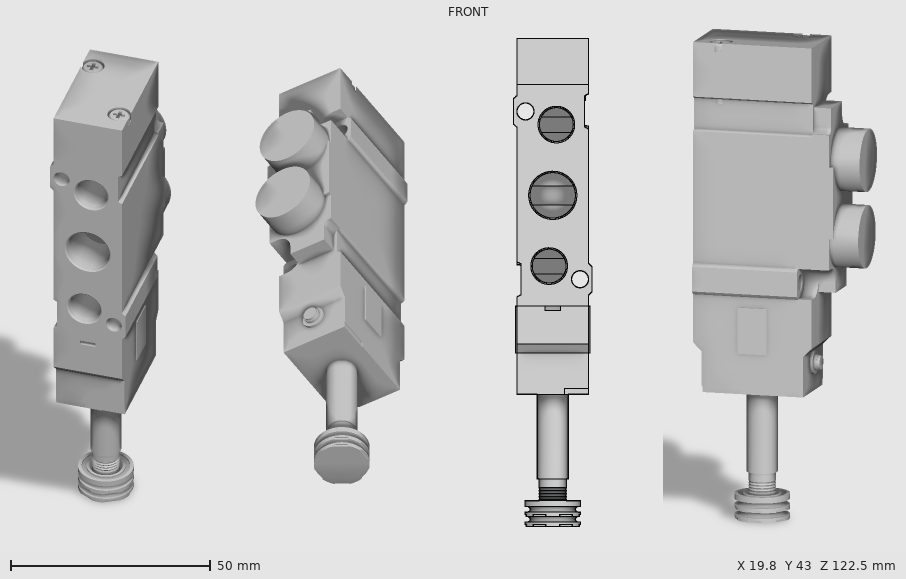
import cadquery as cq


overall_height = 122.5

housing_width = 18.0
housing_depth = 31.0
body_height = 55.6
cap_height = 11.6
adapter_height = 11.8
block_depth = 26.5
block_height = 10.35

half_width = housing_width / 2
front_y = -housing_depth / 2
back_y = housing_depth / 2
body_top = body_height / 2
body_bottom = -body_top
cap_top = body_top + cap_height
adapter_bottom = body_bottom - adapter_height
block_bottom = adapter_bottom - block_height

mount_x = 6.85
mount_z = 21.05
mount_diameter = 4.2
spotface_diameter = 7.8
spotface_depth = 3.6
spotface_floor_y = back_y - spotface_depth

ear_height = 0.9
ear_base = 8.0
ear_bevel = 0.85
notch_depth = 1.0
notch_opening = 8.8
notch_bevel = 0.5

centre_port_diameter = 11.4
side_port_diameter = 8.5
port_chamfer = 0.35
port_depth = 12.0
side_port_x = 0.9
side_port_z = 17.75
centre_slot_height = 4.8
side_slot_height = 3.9
port_slot_depth = 2.0

plate_thickness = 4.5
plate_height = 47.9
pad_height = 18.3
pad_thickness = 1.0
boss_diameter = 16.0
boss_length = 7.5
boss_x = 0.62
boss_z = 9.65
corner_step_width = 2.0
corner_step_height = 6.5
corner_step_radius = 1.6
plate_back_y = back_y + plate_thickness

screw_x = 6.2
screw_y = 8.9
counterbore_diameter = 5.9
counterbore_depth = 2.2
head_diameter = 5.4
head_chamfer = 0.45
head_sink = 0.2
shank_diameter = 4.0
thread_engagement = 4.0
cross_length = 3.0
cross_width = 0.9
cross_depth = 1.2

adapter_chamfer = (housing_depth - block_depth) / 2
rib_width = 7.5
rib_height = 0.35
mark_width = 4.0
mark_height = 1.1
mark_depth = 0.8

recess_height = 1.5
recess_depth = 0.2
front_recess_width = 6.0
side_recess_length = 8.4

button_steps = [(5.9, 0.7), (4.0, 0.75), (3.6, 0.75)]
button_drop = 2.95

stem_diameter = 7.8
stem_length = 21.2
neck_diameter = 7.0
neck_length = 2.2
thread_root_diameter = 6.5
thread_pitch = 0.75
thread_grooves = 4
thread_start = block_bottom - stem_length - neck_length

nut_diameter = 14.0
nut_groove_diameter = 11.4
nut_height = 6.5
nut_top_flange = 1.5
nut_middle_flange = 1.15
nut_bottom_flange = 1.15
nut_lead_diameter = 8.5
nut_ring_inner_diameter = 9.8
nut_ring_outer_diameter = 12.2
nut_ring_depth = 0.4
nut_notches = 6
nut_notch_width = 3.6
nut_notch_depth = 0.4
nut_bottom = cap_top - overall_height
nut_top = nut_bottom + nut_height


def box_between(x_range, y_range, z_range):
    size = [high - low for low, high in (x_range, y_range, z_range)]
    corner = (x_range[0], y_range[0], z_range[0])
    return cq.Workplane("XY").box(*size, centered=False).translate(corner)


def cylinder_y(diameter, x, z, y_low, y_high):
    disc = cq.Workplane("XZ", origin=(x, y_low, z)).circle(diameter / 2)
    return disc.extrude(y_low - y_high)


def cylinder_z(diameter, x, y, z_low, z_high):
    disc = cq.Workplane("XY", origin=(x, y, z_low)).circle(diameter / 2)
    return disc.extrude(z_high - z_low)


def half_turn(shape):
    """The same shape at the diagonally opposite corner, turned about the centre port."""
    return shape.rotate((0, 0, 0), (0, 1, 0), 180)


def side_trapezoid(base_x, tip_x, base_width, bevel, y_low, y_high):
    """Bar along Y with bevelled flanks, level with the upper mounting hole."""
    outline = [
        (base_x, mount_z - base_width / 2),
        (tip_x, mount_z - base_width / 2 + bevel),
        (tip_x, mount_z + base_width / 2 - bevel),
        (base_x, mount_z + base_width / 2),
    ]
    bar = cq.Workplane("XZ", origin=(0, y_low, 0)).polyline(outline).close()
    return bar.extrude(y_low - y_high)


def port(diameter, x, z, slot_height):
    """Round chamfered port with a slot across its floor."""
    floor_y = front_y + port_depth
    radius = diameter / 2
    bore = cylinder_y(diameter, x, z, front_y, floor_y)
    mouth = cq.Workplane("XZ", origin=(x, front_y, z)).circle(radius + port_chamfer)
    mouth = mouth.workplane(offset=-port_chamfer).circle(radius).loft()
    slot_band = box_between(
        (x - radius, x + radius),
        (floor_y, floor_y + port_slot_depth),
        (z - slot_height / 2, z + slot_height / 2),
    )
    slot = cylinder_y(diameter, x, z, floor_y, floor_y + port_slot_depth).intersect(slot_band)
    return bore.union(mouth).union(slot)


def spotface(y_low, y_high):
    """U-shaped seat around the upper mounting hole, open to -X."""
    radius = spotface_diameter / 2
    seat = cylinder_y(spotface_diameter, -mount_x, mount_z, y_low, y_high)
    outlet = box_between(
        (-half_width - ear_height, -mount_x),
        (y_low, y_high),
        (mount_z - radius, mount_z + radius),
    )
    return seat.union(outlet)


def screw_places():
    return [(-screw_x, screw_y), (screw_x, -screw_y)]


def make_valve_body():
    body = cq.Workplane("XY").box(housing_width, housing_depth, body_height)
    ear = side_trapezoid(
        -half_width, -half_width - ear_height, ear_base, ear_bevel, front_y, spotface_floor_y
    )
    notch = side_trapezoid(
        half_width, half_width - notch_depth, notch_opening, notch_bevel, front_y, back_y
    )
    mount_hole = cylinder_y(mount_diameter, -mount_x, mount_z, front_y, back_y)
    seat = spotface(spotface_floor_y, back_y)
    for place in (lambda shape: shape, half_turn):
        body = body.union(place(ear))
        body = body.cut(place(notch)).cut(place(mount_hole)).cut(place(seat))
    body = body.cut(port(centre_port_diameter, 0, 0, centre_slot_height))
    for side in (1, -1):
        body = body.cut(
            port(side_port_diameter, side * side_port_x, side * side_port_z, side_slot_height)
        )
    for x, y in screw_places():
        body = body.cut(cylinder_z(shank_diameter, x, y, body_top - thread_engagement, body_top))
    return body


def make_back_plate():
    half_height = plate_height / 2
    plate = box_between(
        (-half_width, half_width), (back_y, plate_back_y), (-half_height, half_height)
    )
    pad = box_between(
        (-half_width, half_width),
        (plate_back_y, plate_back_y + pad_thickness),
        (-pad_height / 2, pad_height / 2),
    )
    seat = spotface(back_y, plate_back_y).union(
        box_between(
            (-half_width, -mount_x + spotface_diameter / 2),
            (back_y, plate_back_y),
            (mount_z, half_height),
        )
    )
    step = box_between(
        (half_width - corner_step_width, half_width + corner_step_width),
        (back_y, plate_back_y),
        (half_height - corner_step_height, half_height + corner_step_height),
    )
    step = step.edges("|Y and <X and <Z").fillet(corner_step_radius)
    boss = cylinder_y(boss_diameter, -boss_x, boss_z, plate_back_y, plate_back_y + boss_length)
    plate = plate.union(pad)
    for place in (lambda shape: shape, half_turn):
        plate = plate.cut(place(seat)).cut(place(step))
    return plate.union(boss).union(half_turn(boss))


def make_end_cap():
    cap = box_between((-half_width, half_width), (front_y, back_y), (body_top, cap_top))
    for x, y in screw_places():
        cap = cap.cut(cylinder_z(shank_diameter, x, y, body_top, cap_top))
        cap = cap.cut(cylinder_z(counterbore_diameter, x, y, cap_top - counterbore_depth, cap_top))
    return cap


def make_cap_screw(x, y):
    seat_z = cap_top - counterbore_depth
    head_top = cap_top - head_sink
    shank = cylinder_z(shank_diameter, x, y, body_top - thread_engagement, seat_z)
    head = cylinder_z(head_diameter, x, y, seat_z, head_top).edges(">Z").chamfer(head_chamfer)
    screw = shank.union(head)
    cross = cq.Workplane("XY", origin=(x, y, head_top))
    cross = cross.rect(cross_length, cross_width).extrude(-cross_depth)
    screw = screw.cut(cross)
    return screw.cut(cross.rotate((x, y, 0), (x, y, 1), 90))


def make_adapter():
    z_range = (adapter_bottom, body_bottom)
    adapter = box_between((-half_width, half_width), (front_y, back_y), z_range)
    adapter = adapter.edges("|X and <Z").chamfer(adapter_chamfer)
    ribs = box_between(
        (-half_width - rib_height, half_width + rib_height),
        (-rib_width / 2, rib_width / 2),
        z_range,
    )
    mark = box_between(
        (-mark_width / 2, mark_width / 2),
        (front_y, front_y + mark_depth),
        (body_bottom - mark_height, body_bottom),
    )
    return adapter.union(ribs).cut(mark)


def make_solenoid():
    half_depth = block_depth / 2
    solenoid = box_between(
        (-half_width, half_width), (-half_depth, half_depth), (block_bottom, adapter_bottom)
    )
    recess_z = (block_bottom, block_bottom + recess_height)
    front_recess = box_between(
        (half_width - front_recess_width, half_width),
        (-half_depth, -half_depth + recess_depth),
        recess_z,
    )
    side_recess = box_between(
        (-half_width, -half_width + recess_depth),
        (half_depth - side_recess_length, half_depth),
        recess_z,
    )
    solenoid = solenoid.cut(front_recess).cut(side_recess)

    step_y = half_depth
    for diameter, length in button_steps:
        step = cylinder_y(diameter, 0, adapter_bottom - button_drop, step_y, step_y + length)
        solenoid = solenoid.union(step)
        step_y += length

    stem_bottom = block_bottom - stem_length
    solenoid = solenoid.union(cylinder_z(stem_diameter, 0, 0, stem_bottom, block_bottom))
    solenoid = solenoid.union(cylinder_z(neck_diameter, 0, 0, nut_bottom, stem_bottom))
    for groove in range(thread_grooves):
        solenoid = solenoid.cut(thread_groove(thread_start - groove * thread_pitch))
    return solenoid


def thread_groove(top_z):
    """V-shaped ring groove, one pitch high."""
    outer = neck_diameter / 2
    profile = [
        (outer, top_z),
        (thread_root_diameter / 2, top_z - thread_pitch / 2),
        (outer, top_z - thread_pitch),
    ]
    return cq.Workplane("XZ").polyline(profile).close().revolve(360, (0, 0), (0, 1))


def make_nut():
    outer = nut_diameter / 2
    root = nut_groove_diameter / 2
    bore = neck_diameter / 2
    lead = nut_lead_diameter / 2
    groove_height = (nut_height - nut_top_flange - nut_middle_flange - nut_bottom_flange) / 2
    groove_radius = groove_height / 2
    lower_groove = nut_bottom + nut_bottom_flange
    upper_groove = nut_top - nut_top_flange - groove_height

    profile = cq.Workplane("XZ").moveTo(bore, nut_bottom).lineTo(outer, nut_bottom)
    for low in (lower_groove, upper_groove):
        high = low + groove_height
        profile = profile.lineTo(outer, low).lineTo(root + groove_radius, low)
        profile = profile.threePointArc((root, low + groove_radius), (root + groove_radius, high))
        profile = profile.lineTo(outer, high)
    profile = profile.lineTo(outer, nut_top).lineTo(lead, nut_top)
    profile = profile.lineTo(bore, nut_top - lead + bore).close()
    nut = profile.revolve(360, (0, 0), (0, 1))

    ring = cylinder_z(nut_ring_outer_diameter, 0, 0, nut_top - nut_ring_depth, nut_top)
    ring = ring.cut(cylinder_z(nut_ring_inner_diameter, 0, 0, nut_top - nut_ring_depth, nut_top))
    nut = nut.cut(ring)

    middle_bottom = lower_groove + groove_height
    for low, flange in ((nut_bottom, nut_bottom_flange), (middle_bottom, nut_middle_flange)):
        notch = box_between(
            (outer - nut_notch_depth, outer + nut_notch_depth),
            (-nut_notch_width / 2, nut_notch_width / 2),
            (low, low + flange / 2),
        )
        for index in range(nut_notches):
            nut = nut.cut(notch.rotate((0, 0, 0), (0, 0, 1), index * 360 / nut_notches))
    return nut


valve_body = make_valve_body()
back_plate = make_back_plate()
end_cap = make_end_cap()
adapter = make_adapter()
solenoid = make_solenoid()
nut = make_nut()
cap_screws = [make_cap_screw(x, y).val() for x, y in screw_places()]

result = cq.Compound.makeCompound(
    [
        valve_body.val(),
        back_plate.val(),
        end_cap.val(),
        *cap_screws,
        adapter.val(),
        solenoid.val(),
        nut.val(),
    ]
)